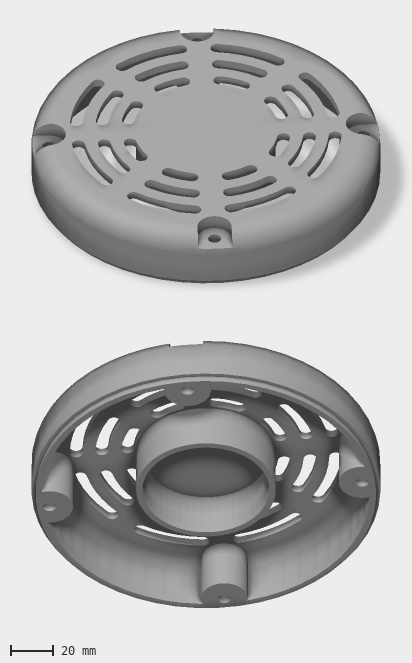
import cadquery as cq
import math

outer_radius = 82.0
total_height = 29.0
lip_height = 3.0
lip_inset = 2.0
edge_radius = 10.0

top_thickness = 4.0
side_thickness = 3.0
lip_radius = outer_radius - lip_inset
cavity_radius = lip_radius - side_thickness
cavity_height = total_height - top_thickness
cavity_edge_radius = edge_radius - top_thickness

collar_radius = 32.8
collar_inner_radius = collar_radius - side_thickness
collar_bottom = lip_height

slot_row_count = 3
first_row_radius = 37.0
row_pitch = 12.0
slot_width = 6.0
spoke_count = 8
spoke_angle = 360.0 / spoke_count
slot_end_offset = 8.5

screw_count = 4
screw_circle_radius = 74.0
first_screw_angle = 45.0
screw_hole_diameter = 6.0
seat_radius = 8.0
seat_depth = 7.0
seat_floor = total_height - seat_depth

pillar_radius = seat_radius + side_thickness


def polar_point(radius, angle):
    """Point at a radius and an angle in degrees about the part's axis."""
    return (
        radius * math.cos(math.radians(angle)),
        radius * math.sin(math.radians(angle)),
    )


def shifted(point, offset):
    """Point moved by an offset."""
    return (point[0] + offset[0], point[1] + offset[1])


def make_body():
    """Round cover with a rounded top edge and a stepped-in lip at its base."""
    lip = cq.Workplane("XY").circle(lip_radius).extrude(lip_height)
    cover = (
        cq.Workplane("XY")
        .workplane(offset=lip_height)
        .circle(outer_radius)
        .extrude(total_height - lip_height)
        .faces(">Z")
        .edges()
        .fillet(edge_radius)
    )
    return lip.union(cover)


def make_cavity():
    """Hollow open at the base, its upper edge rounded like the outside."""
    return (
        cq.Workplane("XY")
        .circle(cavity_radius)
        .extrude(cavity_height)
        .faces(">Z")
        .edges()
        .fillet(cavity_edge_radius)
    )


def make_slot(row_radius):
    """Round-ended arc slot between the spoke along +X and the next spoke."""
    start_angle = math.degrees(math.asin(slot_end_offset / row_radius))
    middle_angle = spoke_angle / 2
    end_angle = spoke_angle - start_angle
    cap_radius = slot_width / 2
    inner_radius = row_radius - cap_radius
    outer_row_radius = row_radius + cap_radius

    inner_start = polar_point(inner_radius, start_angle)
    inner_middle = polar_point(inner_radius, middle_angle)
    inner_end = polar_point(inner_radius, end_angle)
    outer_start = polar_point(outer_row_radius, start_angle)
    outer_middle = polar_point(outer_row_radius, middle_angle)
    outer_end = polar_point(outer_row_radius, end_angle)
    start_tip = shifted(polar_point(row_radius, start_angle), polar_point(cap_radius, start_angle - 90))
    end_tip = shifted(polar_point(row_radius, end_angle), polar_point(cap_radius, end_angle + 90))
    return (
        cq.Workplane("XY")
        .moveTo(*inner_start)
        .threePointArc(inner_middle, inner_end)
        .threePointArc(end_tip, outer_end)
        .threePointArc(outer_middle, outer_start)
        .threePointArc(start_tip, inner_start)
        .close()
        .extrude(total_height)
    )


def make_screw_seat():
    """Flat seat on the +X side, round inwards and open outwards, with its screw hole."""
    run_out = outer_radius - screw_circle_radius + seat_radius
    floor = cq.Workplane("XY").workplane(offset=seat_floor)
    round_end = floor.center(screw_circle_radius, 0).circle(seat_radius).extrude(seat_depth)
    open_end = (
        floor.center(screw_circle_radius + run_out / 2, 0)
        .rect(run_out, 2 * seat_radius)
        .extrude(seat_depth)
    )
    hole = (
        cq.Workplane("XY")
        .center(screw_circle_radius, 0)
        .circle(screw_hole_diameter / 2)
        .extrude(total_height)
    )
    return round_end.union(open_end).union(hole)


def make_pillar():
    """Round pillar on the +X side under a screw seat."""
    return cq.Workplane("XY").center(screw_circle_radius, 0).circle(pillar_radius).extrude(total_height)


def make_collar():
    """Open tube centred under the top."""
    return (
        cq.Workplane("XY")
        .workplane(offset=collar_bottom)
        .circle(collar_radius)
        .circle(collar_inner_radius)
        .extrude(total_height - collar_bottom)
    )


def cut_around(body, cutter, count, first_angle):
    """Cut equally spaced copies of a cutter around the part's axis."""
    for index in range(count):
        angle = first_angle + index * 360.0 / count
        body = body.cut(cutter.rotate((0, 0, 0), (0, 0, 1), angle))
    return body


hollow = cut_around(make_cavity(), make_pillar(), screw_count, first_screw_angle)
hollow = hollow.cut(make_collar())

result = make_body().cut(hollow)
for row in range(slot_row_count):
    slot = make_slot(first_row_radius + row * row_pitch)
    result = cut_around(result, slot, spoke_count, 0)
result = cut_around(result, make_screw_seat(), screw_count, first_screw_angle)